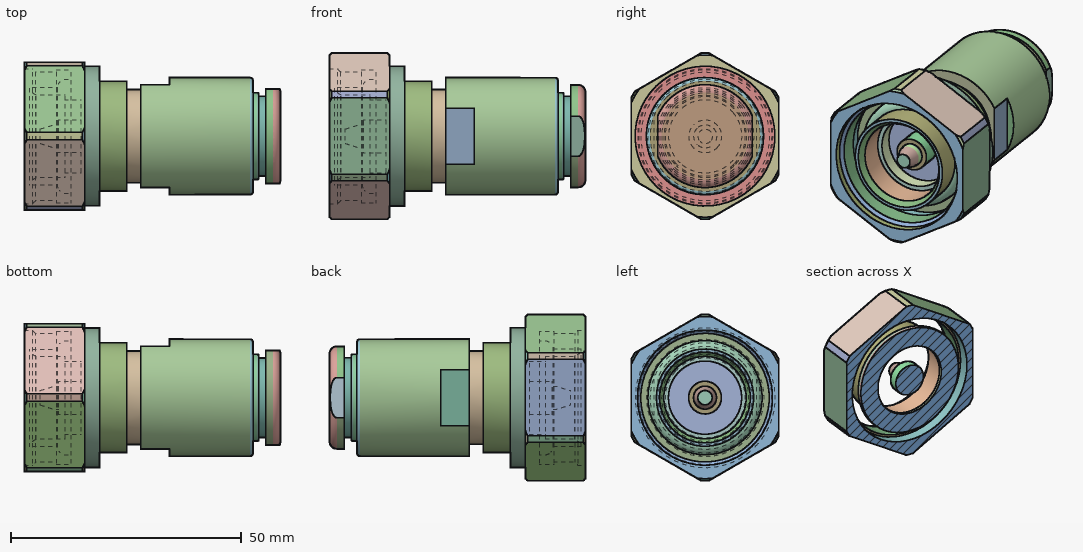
import cadquery as cq
import math

total_length = 55.45

nut_length = 13.05
nut_across_flats = 32.0
nut_corner_diameter = 36.05
nut_chamfer = 0.5

entry_radius = 14.65
entry_depth = 1.65
lip_radius = 13.9
lip_start = entry_depth + (entry_radius - lip_radius)
lip_end = 6.9
undercut_radius = 14.4
nut_floor = 10.0

collar_radius = 15.15
collar_end = 16.3
shoulder_radius = 11.9
shoulder_end = 22.2
neck_radius = 10.15
neck_end = 25.2
body_radius = 12.7
body_end = 49.5
body_rounding = 0.7
seal_step_radius = 9.45
seal_step_end = 50.75
seal_step_rounding = 0.35
groove_radius = 8.65
cap_start = 52.25
cap_radius = 11.15
cap_rounding = 1.65

body_flat_width = 22.3
body_flat_end = 31.4
cap_flat_width = 20.5

tube_tip = 1.05
tube_radius = 10.55
tube_mouth_radius = 9.8
tube_bore_radius = 8.95
tube_mouth_end = 2.5
tube_ledge = 8.75
gasket_radius = 12.35
gasket_rounding = gasket_radius - tube_radius
gasket_shoulder = 8.95

cavity_radius = 7.95
cavity_floor = 12.2
boss_radius = 3.55
boss_tip = 7.3
pin_tip = 3.3
pin_tip_radius = 1.55
pin_radius = 2.5
pin_cone_end = 6.3
pin_blend_radius = 2.8


def cylinder(start, end, radius):
    """Solid cylinder on the X axis from start to end."""
    return cq.Workplane("YZ", origin=(start, 0, 0)).circle(radius).extrude(end - start)


def revolve_about_x(profile):
    """Turn a closed (x, radius) outline around the X axis."""
    return profile.close().revolve(360, (0, 0, 0), (1, 0, 0))


def with_flats(turned, start, end, width):
    """Mill two flats, width apart in Y, along a turned piece between start and end."""
    flat_length = end - start
    stock = nut_corner_diameter
    at_middle = cq.Workplane("XY", origin=(start + flat_length / 2, 0, 0))
    outside_flats = at_middle.box(flat_length, stock, stock).cut(at_middle.box(flat_length, width, stock))
    return turned.cut(outside_flats)


def hex_nut():
    """Hexagon with flats facing -Y and +Y, its corners turned down and chamfered at both ends."""
    across_corners = nut_across_flats / math.cos(math.pi / 6)
    hexagon = cq.Workplane("YZ").polygon(6, across_corners).extrude(nut_length)
    hexagon = hexagon.rotate((0, 0, 0), (1, 0, 0), 90)
    corner_trim = cylinder(0, nut_length, nut_corner_diameter / 2).edges().chamfer(nut_chamfer)
    return hexagon.intersect(corner_trim)


def nut_bore():
    """Stepped opening of the nut, widening again behind the retaining lip."""
    profile = (
        cq.Workplane("XY")
        .lineTo(0, entry_radius)
        .lineTo(entry_depth, entry_radius)
        .lineTo(lip_start, lip_radius)
        .lineTo(lip_end, lip_radius)
        .lineTo(lip_end, undercut_radius)
        .lineTo(nut_floor, undercut_radius)
        .lineTo(nut_floor, 0)
    )
    return revolve_about_x(profile)


def contact_tube():
    """Plain tube with a quarter-round gasket rising from it towards the nut floor."""
    gasket_crown = gasket_shoulder - gasket_rounding
    reach = gasket_rounding * math.sqrt(0.5)
    arc_middle = (gasket_shoulder - reach, tube_radius + reach)
    profile = (
        cq.Workplane("XY")
        .moveTo(tube_tip, 0)
        .lineTo(tube_tip, tube_radius)
        .lineTo(gasket_crown, tube_radius)
        .threePointArc(arc_middle, (gasket_shoulder, gasket_radius))
        .lineTo(nut_floor, gasket_radius)
        .lineTo(nut_floor, 0)
    )
    return revolve_about_x(profile)


def tube_cavity():
    """Inside of the contact tube: tapered mouth, bore, ledge and smaller cavity."""
    profile = (
        cq.Workplane("XY")
        .moveTo(tube_tip, 0)
        .lineTo(tube_tip, tube_mouth_radius)
        .lineTo(tube_mouth_end, tube_bore_radius)
        .lineTo(tube_ledge, tube_bore_radius)
        .lineTo(tube_ledge, cavity_radius)
        .lineTo(cavity_floor, cavity_radius)
        .lineTo(cavity_floor, 0)
    )
    return revolve_about_x(profile)


def centre_pin():
    """Tapered pin, its cone blended into the shank, standing in the insulator boss."""
    profile = (
        cq.Workplane("XY")
        .moveTo(pin_tip, 0)
        .lineTo(pin_tip, pin_tip_radius)
        .lineTo(pin_cone_end, pin_radius)
        .lineTo(cavity_floor, pin_radius)
        .lineTo(cavity_floor, 0)
    )
    pin = revolve_about_x(profile).edges("%CIRCLE and (not <X) and (not >X)").fillet(pin_blend_radius)
    return pin.union(cylinder(boss_tip, cavity_floor, boss_radius))


def clamp_body():
    body = cylinder(neck_end, body_end, body_radius).faces(">X").edges().fillet(body_rounding)
    return with_flats(body, neck_end, body_flat_end, body_flat_width)


def end_cap():
    cap = cylinder(cap_start, total_length, cap_radius).faces(">X").edges().fillet(cap_rounding)
    return with_flats(cap, cap_start, total_length, cap_flat_width)


def seal_step():
    step = cylinder(body_end, seal_step_end, seal_step_radius)
    return step.faces(">X").edges().fillet(seal_step_rounding)


result = (
    hex_nut()
    .union(cylinder(nut_length, collar_end, collar_radius))
    .union(cylinder(collar_end, shoulder_end, shoulder_radius))
    .union(cylinder(shoulder_end, neck_end, neck_radius))
    .union(clamp_body())
    .union(seal_step())
    .union(cylinder(seal_step_end, cap_start, groove_radius))
    .union(end_cap())
    .cut(nut_bore())
    .union(contact_tube())
    .cut(tube_cavity())
    .union(centre_pin())
)